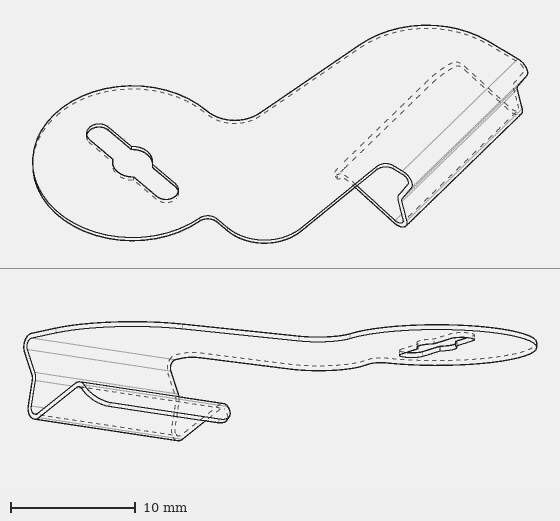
import cadquery as cq
import math

thickness = 0.4
inner_bend_radius = 0.6
mid_bend_radius = inner_bend_radius + thickness / 2

disk_radius = 8.0
slot_end_spacing = 8.0
slot_width = 2.0
centre_hole_radius = 1.6

arm_angle = 60.0
long_side_offset = 3.0
base_side_offset = 1.0
outer_side_angle = 65.0
outer_side_offset = 14.63
disk_side_fillet = 3.0
disk_base_fillet = 1.0
base_corner_radius = 4.0
relief_fillet = 1.0
shoulder_radius = 8.0

strip_angle = 70.0
strip_width = 15.0
strip_start = 12.53
strip_end = strip_start + strip_width
fold_distance = 17.62
tip_corner_radius = 1.8

strip_legs = [
    (-115.0, 2.2),
    (39.0, 2.07),
    (-125.0, 5.0),
    (71.0, 1.82),
]


def direction(angle):
    """Unit vector at an angle in degrees."""
    return cq.Vector(math.cos(math.radians(angle)), math.sin(math.radians(angle)))


def line_at(normal_angle, offset):
    """Line given by the angle of its normal and its distance from the origin."""
    return normal_angle, offset


def crossing(line_a, line_b):
    """Point where two such lines meet."""
    normal_a = direction(line_a[0])
    normal_b = direction(line_b[0])
    determinant = normal_a.x * normal_b.y - normal_a.y * normal_b.x
    x = (line_a[1] * normal_b.y - line_b[1] * normal_a.y) / determinant
    y = (line_b[1] * normal_a.x - line_a[1] * normal_b.x) / determinant
    return cq.Vector(x, y)


def disk_crossing(line):
    """Point where a line leaves the disk, on the side 90 degrees ahead of its normal."""
    along = math.sqrt(disk_radius**2 - line[1] ** 2)
    return direction(line[0]) * line[1] + direction(line[0] + 90) * along


def fillet_upright_edge(body, point, radius):
    """Round the upright plate edge that stands at a plan point."""
    middle = (point.x, point.y, -thickness / 2)
    return body.edges("|Z").edges(cq.selectors.NearestToPointSelector(middle)).fillet(radius)


def make_plate():
    """Disk and arm up to the first fold line; the top face lies at Z = 0."""
    long_side = line_at(arm_angle - 90, long_side_offset)
    base_side = line_at(arm_angle, base_side_offset)
    outer_side = line_at(outer_side_angle - 90, outer_side_offset)
    near_end = line_at(strip_angle, strip_start)
    far_end = line_at(strip_angle, strip_end)
    fold = line_at(strip_angle - 90, fold_distance)

    arm_start = crossing(long_side, base_side)
    base_corner = crossing(base_side, outer_side)
    relief_corner = crossing(outer_side, near_end)
    shoulder = crossing(far_end, long_side)
    corners = [
        arm_start,
        base_corner,
        relief_corner,
        crossing(near_end, fold),
        crossing(fold, far_end),
        shoulder,
    ]
    arm = cq.Workplane("XY").polyline([p.toTuple()[:2] for p in corners]).close().extrude(-thickness)
    plate = cq.Workplane("XY").circle(disk_radius).extrude(-thickness).union(arm)

    base_side_reversed = line_at(arm_angle - 180, -base_side_offset)
    rounds = [
        (disk_crossing(long_side), disk_side_fillet),
        (disk_crossing(base_side_reversed), disk_base_fillet),
        (base_corner, base_corner_radius),
        (relief_corner, relief_fillet),
        (shoulder, shoulder_radius),
    ]
    for point, radius in rounds:
        plate = fillet_upright_edge(plate, point, radius)
    return plate


def cut_slot(plate):
    """Slot across the arm direction, widened by a round hole in its middle."""
    overall_length = slot_end_spacing + slot_width
    slot = cq.Workplane("XY").slot2D(overall_length, slot_width, arm_angle - 90).extrude(-thickness)
    hole = cq.Workplane("XY").circle(centre_hole_radius).extrude(-thickness)
    return plate.cut(slot).cut(hole)


def trace_side(side):
    """Follow one face of the bent sheet, at a signed distance to the left of its middle.

    Returns the start point and one (arc middle, arc end, leg end) triple for each bend.
    """
    position = cq.Vector(fold_distance, -thickness / 2)
    heading = 0.0
    start = position + direction(heading + 90) * side
    pieces = []
    for turn, leg_length in strip_legs:
        to_centre = math.copysign(mid_bend_radius, turn)
        centre = position + direction(heading + 90) * to_centre
        radial = side - to_centre
        arc_middle = centre + direction(heading + turn / 2 + 90) * radial
        heading += turn
        arc_end = centre + direction(heading + 90) * radial
        leg_end = arc_end + direction(heading) * leg_length
        position = leg_end - direction(heading + 90) * side
        pieces.append((arc_middle, arc_end, leg_end))
    return start, pieces


def make_strip():
    """Bent strip of constant section, with the two corners of its free end rounded."""
    left_start, left_pieces = trace_side(thickness / 2)
    right_start, right_pieces = trace_side(-thickness / 2)

    section_plane = cq.Plane(
        origin=(direction(strip_angle) * strip_end).toTuple(),
        xDir=direction(strip_angle - 90).toTuple(),
        normal=(direction(strip_angle) * -1).toTuple(),
    )
    profile = cq.Workplane(section_plane).moveTo(left_start.x, left_start.y)
    for arc_middle, arc_end, leg_end in left_pieces:
        profile = profile.threePointArc(arc_middle.toTuple()[:2], arc_end.toTuple()[:2])
        profile = profile.lineTo(leg_end.x, leg_end.y)
    right_tip = right_pieces[-1][2]
    profile = profile.lineTo(right_tip.x, right_tip.y)

    arc_starts = [right_start] + [leg_end for _, _, leg_end in right_pieces[:-1]]
    for arc_start, piece in zip(reversed(arc_starts), reversed(right_pieces)):
        arc_middle, leg_start, _ = piece
        profile = profile.lineTo(leg_start.x, leg_start.y)
        profile = profile.threePointArc(arc_middle.toTuple()[:2], arc_start.toTuple()[:2])
    strip = profile.close().extrude(strip_width)

    tip = (left_pieces[-1][2] + right_tip) * 0.5
    for depth in (0, strip_width):
        corner = section_plane.toWorldCoords((tip.x, tip.y, depth))
        corner_edge = cq.selectors.NearestToPointSelector(corner.toTuple())
        strip = strip.edges(corner_edge).fillet(tip_corner_radius)
    return strip


result = cut_slot(make_plate()).union(make_strip())